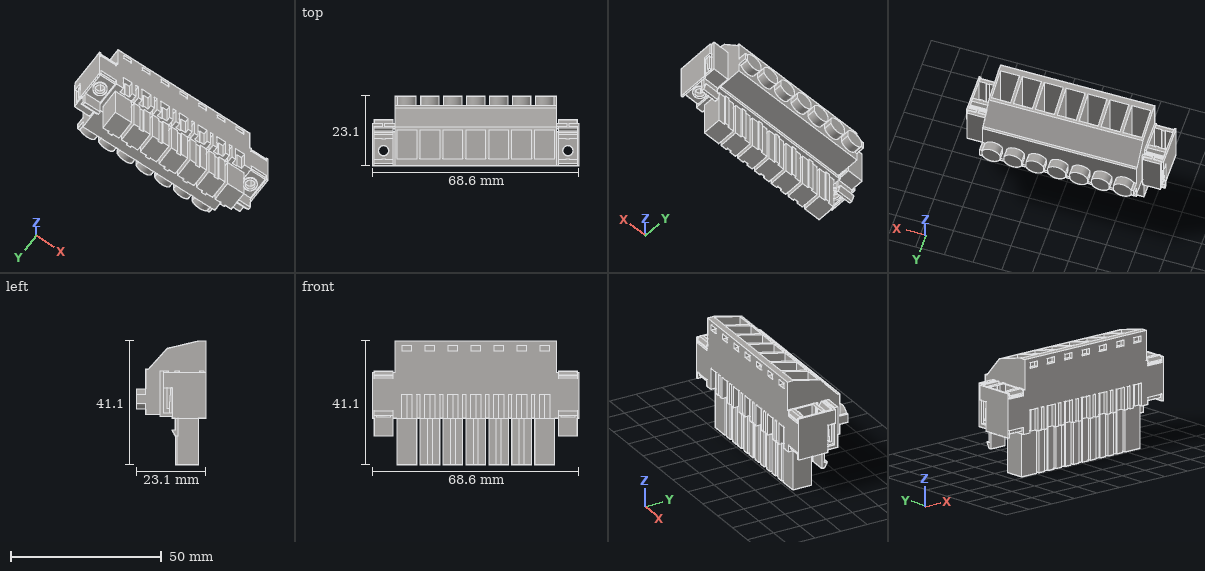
import cadquery as cq


POLES = 7
PITCH = 7.6
LENGTH = 68.6
TOP = 41.15

BLOCK_LENGTH = 53.6
BLOCK_BACK = 20.0
BLOCK_FRONT_BOTTOM = 15.4
BLOCK_REAR_BOTTOM = 16.7
SKIRT_DEPTH = 11.2
FLAT_DEPTH = 2.5
SLOPE_Y, SLOPE_Z = 12.9, 38.7
SHELF_Y, SHELF_Z = 19.2, 31.75

FUNNEL_WIDTH = 6.6
FUNNEL_FRONT, FUNNEL_BACK = 2.25, 11.9
FUNNEL_BOTTOM = 23.3
WINDOW_WIDTH = 3.1
WINDOW_BOTTOM, WINDOW_TOP = 37.7, 39.65
WINDOW_DEPTH = 1.4

SLEEVE_WIDTH = 6.6
SLEEVE_FRONT, SLEEVE_BACK = 2.5, 9.6
KEY_WIDTH = 1.65
KEY_DEPTH = 0.55
SLOT_WIDTH = 3.6
SLOT_TOP = 23.3
SLOT_DEPTH = 1.6
SLOT_DEEP_SIDE = 1.85

SCREW_DIAMETER = 6.65
SCREW_FLATS = 6.2
SCREW_Z = 21.9
SCREW_BACK = 23.1
TAB_THICKNESS = 0.9
TAB_HEIGHT = 3.1

WALL = 0.6
WING_TOP = 30.7
FRONT_WALL = 0.8
FRONT_WALL_BOTTOM, FRONT_WALL_TOP = 17.9, 28.8
INNER_WALL_BACK = 11.3
OUTER_CUT_TOP = 25.6
REAR_PLATE_FRONT, WING_BACK = 12.95, 14.05
REAR_PLATE_BOTTOM = 17.3
REAR_PLATE_INSET = 0.95
FOOT_FRONT, FOOT_TOP = 12.2, 18.8
SLIT_WIDTH = 0.75

LATCH_TOP = 31.15
PLATE_THICKNESS = 1.25
CUP_BACK = 10.3
CUP_BOTTOM = 16.45
LIP_REACH = 0.8
LIP_BOTTOM, LIP_EDGE = 29.5, 29.9
RIB_WIDTH = 1.2
RIB_DEPTH = 0.2
LATCH_HOLE_Y = 5.0
LATCH_HOLE = 3.3
BOSS_DIAMETER = 4.7
BOSS_HEIGHT = 0.6
LEG_THICKNESS = 1.0
LEG_BOTTOM = 9.6
BARB_Z, BARB_REACH = 11.65, 1.1
BASE_BOTTOM = 16.05
HANDLE_BACK = 15.3
DETENT_TOP_Y = 12.55
DETENT_Y, DETENT_Z = 11.45, 29.15

POLE_XS = [(i - (POLES - 1) / 2) * PITCH for i in range(POLES)]
GAP_XS = [x + PITCH / 2 for x in POLE_XS[:-1]]
GAP_WIDTH = PITCH - SLEEVE_WIDTH
BLOCK_END = BLOCK_LENGTH / 2
WING_END = LENGTH / 2
CAVITY_START = BLOCK_END + WALL
CAVITY_END = WING_END - WALL
CAVITY_X = (CAVITY_START + CAVITY_END) / 2
SLIT_START = CAVITY_X - SLIT_WIDTH / 2
SLIT_END = CAVITY_X + SLIT_WIDTH / 2


def box(x0, x1, y0, y1, z0, z1):
    """Box between two opposite corners."""
    return cq.Workplane("XY").box(x1 - x0, y1 - y0, z1 - z0, centered=False).translate((x0, y0, z0))


def box_about(x, width, y0, y1, z0, z1):
    """Box centred on x."""
    return box(x - width / 2, x + width / 2, y0, y1, z0, z1)


def prism(points, x0, x1):
    """Side outline of (y, z) points, extruded along X from x0 to x1."""
    return cq.Workplane("YZ").workplane(offset=x0).polyline(points).close().extrude(x1 - x0)


def make_block():
    """Central block with a sloping top, its rear underside stepped up from the front skirt."""
    outline = [
        (0, BLOCK_FRONT_BOTTOM),
        (SKIRT_DEPTH, BLOCK_FRONT_BOTTOM),
        (SKIRT_DEPTH, BLOCK_REAR_BOTTOM),
        (BLOCK_BACK, BLOCK_REAR_BOTTOM),
        (BLOCK_BACK, SHELF_Z),
        (SHELF_Y, SHELF_Z),
        (SLOPE_Y, SLOPE_Z),
        (FLAT_DEPTH, TOP),
        (0, TOP),
    ]
    return prism(outline, -BLOCK_END, BLOCK_END)


def make_sleeve(x, has_key):
    """Contact sleeve hanging from the block; a rib runs down its back, and inner ones have a front keyway."""
    sleeve = box_about(x, SLEEVE_WIDTH, SLEEVE_FRONT, SLEEVE_BACK, 0, BLOCK_FRONT_BOTTOM)
    rib_back = SLEEVE_BACK + KEY_DEPTH
    sleeve = sleeve.union(box_about(x, KEY_WIDTH, SLEEVE_BACK, rib_back, 0, BLOCK_FRONT_BOTTOM))
    if has_key:
        keyway_back = SLEEVE_FRONT + KEY_DEPTH
        sleeve = sleeve.cut(
            box_about(x, KEY_WIDTH, SLEEVE_FRONT, keyway_back, 0, BLOCK_FRONT_BOTTOM)
        )
    return sleeve


def cut_pole(housing, x):
    """Wire funnel, test window and stepped front slot of one pole."""
    housing = housing.cut(box_about(x, FUNNEL_WIDTH, FUNNEL_FRONT, FUNNEL_BACK, FUNNEL_BOTTOM, TOP))
    housing = housing.cut(box_about(x, WINDOW_WIDTH, 0, WINDOW_DEPTH, WINDOW_BOTTOM, WINDOW_TOP))
    housing = housing.cut(box_about(x, SLOT_WIDTH, 0, SLOT_DEPTH, BLOCK_FRONT_BOTTOM, SLOT_TOP))
    return housing.cut(
        box(x - SLOT_WIDTH / 2, x, 0, SLOT_DEEP_SIDE, BLOCK_FRONT_BOTTOM, SLOT_TOP)
    )


def make_rear_plate(x0, x1):
    """Rear plate of a wing, with a foot along its lower front edge."""
    outline = [
        (FOOT_FRONT, REAR_PLATE_BOTTOM),
        (WING_BACK, REAR_PLATE_BOTTOM),
        (WING_BACK, WING_TOP),
        (REAR_PLATE_FRONT, WING_TOP),
        (REAR_PLATE_FRONT, FOOT_TOP),
        (FOOT_FRONT, FOOT_TOP),
    ]
    return prism(outline, x0, x1)


def make_wing():
    """Wing at the +X end: an open cavity between two side walls, a front wall and a split rear plate."""
    outer_outline = [
        (0, BLOCK_FRONT_BOTTOM),
        (SKIRT_DEPTH, BLOCK_FRONT_BOTTOM),
        (SKIRT_DEPTH, OUTER_CUT_TOP),
        (WING_BACK, OUTER_CUT_TOP),
        (WING_BACK, WING_TOP),
        (0, WING_TOP),
    ]
    wing = prism(outer_outline, CAVITY_END, WING_END)
    wing = wing.union(box(BLOCK_END, CAVITY_START, 0, INNER_WALL_BACK, BLOCK_FRONT_BOTTOM, WING_TOP))
    wing = wing.union(
        box(CAVITY_START, CAVITY_END, 0, FRONT_WALL, FRONT_WALL_BOTTOM, FRONT_WALL_TOP)
    )
    wing = wing.union(make_rear_plate(BLOCK_END, SLIT_START))
    wing = wing.union(make_rear_plate(SLIT_END, CAVITY_END - REAR_PLATE_INSET))
    return wing.union(
        box(SLIT_END, CAVITY_END, REAR_PLATE_FRONT, WING_BACK, OUTER_CUT_TOP, WING_TOP)
    )


def make_tab():
    """Tab at the +X end of the block, beside the last screw."""
    return box(
        BLOCK_END - TAB_THICKNESS,
        BLOCK_END,
        BLOCK_BACK,
        SCREW_BACK,
        SCREW_Z - TAB_HEIGHT / 2,
        SCREW_Z + TAB_HEIGHT / 2,
    )


def make_housing():
    housing = make_block()
    for i, x in enumerate(POLE_XS):
        is_inner = 0 < i < POLES - 1
        housing = housing.union(make_sleeve(x, is_inner))
        housing = cut_pole(housing, x)
    for x in GAP_XS:
        housing = housing.cut(
            box_about(x, GAP_WIDTH, 0, SLEEVE_FRONT, BLOCK_FRONT_BOTTOM, SLOT_TOP)
        )
    for end_part in (make_wing(), make_tab()):
        housing = housing.union(end_part).union(end_part.mirror("YZ"))
    return housing


def latch_prism(points):
    """Latch part filling the width of the wing cavity."""
    return prism(points, CAVITY_START, CAVITY_END)


def make_cup():
    """U-shaped middle of a latch: two lipped plates on a floor with a bossed hole."""
    cup_front_inside = FRONT_WALL + PLATE_THICKNESS
    cup_back_inside = CUP_BACK - PLATE_THICKNESS
    outline = [
        (FRONT_WALL, CUP_BOTTOM),
        (CUP_BACK, CUP_BOTTOM),
        (CUP_BACK, LIP_BOTTOM),
        (CUP_BACK + LIP_REACH, LIP_BOTTOM),
        (CUP_BACK + LIP_REACH, LIP_EDGE),
        (CUP_BACK, LATCH_TOP),
        (cup_back_inside, LATCH_TOP),
        (cup_back_inside, FRONT_WALL_BOTTOM),
        (cup_front_inside, FRONT_WALL_BOTTOM),
        (cup_front_inside, LATCH_TOP),
        (FRONT_WALL, LATCH_TOP),
        (FRONT_WALL - LIP_REACH, LIP_EDGE),
        (FRONT_WALL - LIP_REACH, LIP_BOTTOM),
        (FRONT_WALL, LIP_BOTTOM),
    ]
    cup = latch_prism(outline)
    for rib_start in (cup_front_inside, cup_back_inside - RIB_DEPTH):
        rib_end = rib_start + RIB_DEPTH
        cup = cup.union(
            box_about(CAVITY_X, RIB_WIDTH, rib_start, rib_end, FRONT_WALL_BOTTOM, LATCH_TOP)
        )
    boss_bottom = CUP_BOTTOM - BOSS_HEIGHT
    hole_plane = cq.Workplane("XY", origin=(CAVITY_X, LATCH_HOLE_Y, boss_bottom))
    boss = hole_plane.circle(BOSS_DIAMETER / 2).extrude(BOSS_HEIGHT)
    hole = hole_plane.circle(LATCH_HOLE / 2).extrude(FRONT_WALL_BOTTOM - boss_bottom)
    return cup.union(boss).cut(hole)


def make_leg():
    """Leg below the cup that ends in a barb."""
    leg_front = CUP_BACK - LEG_THICKNESS
    return latch_prism([
        (leg_front, CUP_BOTTOM),
        (leg_front, LEG_BOTTOM),
        (CUP_BACK, LEG_BOTTOM),
        (CUP_BACK + BARB_REACH, BARB_Z),
        (CUP_BACK, BARB_Z),
        (CUP_BACK, CUP_BOTTOM),
    ])


def make_handle():
    """Handle behind the wing: a base, an upright plate and a detent joined through the slit."""
    base_and_plate = latch_prism([
        (CUP_BACK, BASE_BOTTOM),
        (HANDLE_BACK, BASE_BOTTOM),
        (HANDLE_BACK, LATCH_TOP),
        (WING_BACK, LATCH_TOP),
        (WING_BACK, REAR_PLATE_BOTTOM),
        (CUP_BACK, REAR_PLATE_BOTTOM),
    ])
    detent = latch_prism([
        (FOOT_FRONT, FOOT_TOP),
        (REAR_PLATE_FRONT, FOOT_TOP),
        (REAR_PLATE_FRONT, LATCH_TOP),
        (DETENT_TOP_Y, LATCH_TOP),
        (DETENT_Y, DETENT_Z),
    ])
    web = box(SLIT_START, SLIT_END, REAR_PLATE_FRONT, WING_BACK, FOOT_TOP, LATCH_TOP)
    return base_and_plate.union(web).union(detent)


def make_latch():
    """Latch of the +X wing."""
    return make_cup().union(make_leg()).union(make_handle())


def make_screw(x):
    """Round screw end with two upright flats, standing on the back of the block."""
    length = SCREW_BACK - BLOCK_BACK
    axis_plane = cq.Workplane("XZ", origin=(x, BLOCK_BACK, SCREW_Z))
    cylinder = axis_plane.circle(SCREW_DIAMETER / 2).extrude(-length)
    flats = axis_plane.rect(SCREW_FLATS, SCREW_DIAMETER).extrude(-length)
    return cylinder.intersect(flats)


housing = make_housing()
right_latch = make_latch()
latches = [right_latch, right_latch.mirror("YZ")]
screws = [make_screw(x) for x in POLE_XS]

result = cq.Compound.makeCompound([
    housing.solids().val(),
    *[latch.solids().val() for latch in latches],
    *[screw.solids().val() for screw in screws],
])